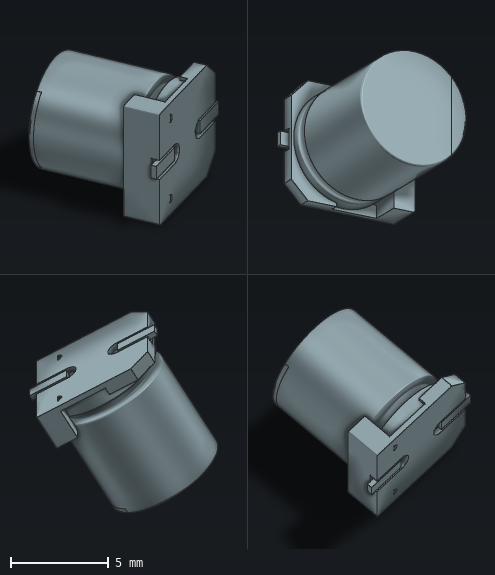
import cadquery as cq

length = 7.55
lead_span = 7.4
base_width = 6.6
half_base = base_width / 2

can_radius = 3.15
plate_thickness = 0.3
can_length = length - plate_thickness
rim_fillet = 0.1
groove_start = 5.81
groove_end = 6.365
groove_radius = 2.61
groove_fillet = 0.09

mark_depth = 0.3
mark_edge_y = -2.22

block_depth = 2.045
block_edge_y = -2.03
shelf_depth = 0.73
shelf_edge_y = 0.62
corner_chamfer = 1.0
corner_fillet = 0.11
vent_radius = 0.23
vent_z = 2.38

lead_width = 0.77
lead_offset_z = 0.03
lead_inner_y = 1.51
slot_width = 1.13
slot_depth = 0.48


def box(x_min, x_max, y_min, y_max, height, center_z=0.0):
    """Box between X and Y limits, with its height centred on center_z."""
    return (
        cq.Workplane("XY")
        .box(x_max - x_min, y_max - y_min, height, centered=(False, False, True))
        .translate((x_min, y_min, center_z))
    )


def rod(x_min, x_max, radius):
    """Cylinder on the X axis."""
    return cq.Workplane("YZ", origin=(x_min, 0, 0)).circle(radius).extrude(x_max - x_min)


def make_full_can():
    """Can with a rounded free end and a rolled groove near the base."""
    closed_end = rod(0, groove_start, can_radius).edges().fillet(rim_fillet)
    foot = rod(groove_end, can_length, can_radius).faces("<X").edges().fillet(groove_fillet)
    neck = rod(groove_start, groove_end, groove_radius)
    can = closed_end.union(neck).union(foot)
    margin = 0.01
    floor_corners = cq.selectors.BoxSelector(
        (groove_start - margin, -groove_radius - margin, -groove_radius - margin),
        (groove_end + margin, groove_radius + margin, groove_radius + margin),
        boundingbox=True,
    )
    return can.edges(floor_corners).edges("%CIRCLE").fillet(groove_fillet)


def make_mark_envelope():
    """Region of the can's free end taken up by the polarity mark."""
    return box(0, mark_depth, -half_base, mark_edge_y, base_width)


def make_lead_slot(side):
    """Slot for one lead: a notch through the side wall and a round-ended slot in the plate."""
    y_limits = sorted((side * lead_inner_y, side * half_base))
    slot = box(length - slot_depth, length, *y_limits, slot_width)
    round_end = (
        cq.Workplane("YZ", origin=(can_length, side * lead_inner_y, 0))
        .circle(slot_width / 2)
        .extrude(plate_thickness)
    )
    return slot.union(round_end)


def make_base():
    """Plate with a deep block at -Y and a low shelf at +Y, bored for the can."""
    plate = box(can_length, length, -half_base, half_base, base_width)
    block = box(length - block_depth, length, -half_base, block_edge_y, base_width)
    shelf = box(length - shelf_depth, length, shelf_edge_y, half_base, base_width)
    base = plate.union(block).union(shelf)
    base = base.edges("|X and >Y").chamfer(corner_chamfer)
    base = base.edges("|X and <Y").fillet(corner_fillet)
    base = base.cut(rod(0, can_length, can_radius))

    vents = (
        cq.Workplane("YZ", origin=(can_length, 0, 0))
        .pushPoints([(block_edge_y, vent_z), (block_edge_y, -vent_z)])
        .circle(vent_radius)
        .extrude(plate_thickness)
    )
    base = base.cut(vents.intersect(box(can_length, length, block_edge_y, half_base, base_width)))

    for side in (-1, 1):
        base = base.cut(make_lead_slot(side))
    return base


def make_lead(side):
    """Flat lead lying in its slot and reaching out past the base."""
    y_limits = sorted((side * lead_inner_y, side * lead_span / 2))
    return box(can_length, length, *y_limits, lead_width, lead_offset_z)


full_can = make_full_can()
can = full_can.cut(make_mark_envelope())
mark = full_can.intersect(make_mark_envelope())
base = make_base()
leads = [make_lead(side) for side in (-1, 1)]

bodies = [can, mark, base, *leads]
result = cq.Compound.makeCompound([body.solids().val() for body in bodies])